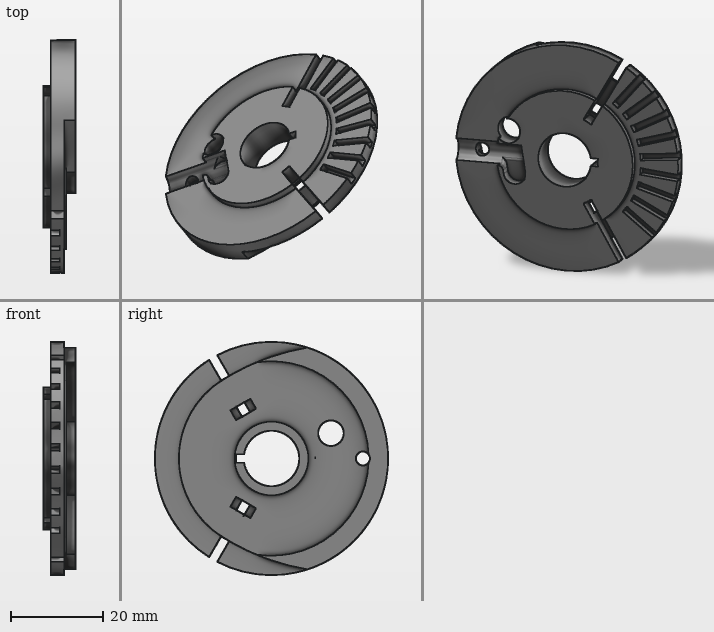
import cadquery as cq
import math

hub_face_x = 0.0
disc_face_x = 1.6
plate_face_x = 4.5
recess_floor_x = 5.0
back_x = 7.0

disc_radius = 25.325
hub_radius = 15.5
boss_radius = 8.0
bore_radius = 6.0
keyway_width = 1.75
keyway_reach = 7.6

cam_base_radius = 20.1
cam_flank_radius = 50.0
cam_tangent_angle = 122.3
cam_flank_sweep = 40.0
recess_radius = 21.1

rim_slot_pitch = 360.0 / 33
rim_slot_positions = [-3.5, -2.5, -1.5, -0.5, 0.5, 1.5, 2.5, 3.5, 4.5]
rim_slot_width = 1.5
rim_slot_depth = 2.0
rim_slot_inner_radius = 16.8

long_slot_angle = 60.0
long_slot_width = 2.0
long_slot_inner_radius = 10.35
window_start_radius = 11.05
window_end_radius = 13.5
window_width = 5.0
window_front_x = 3.0

groove_radius = 2.5
groove_axis_x = 1.1
pocket_radius = 2.5
pocket_top = (12.0, 0.0)
pocket_bottom = (11.4, -3.83)
pocket_floor_x = 3.05
pocket_edge_fillet = 1.0
pin_hole_radius = 1.5
pin_hole_y = 19.83
large_hole_radius = 2.75
large_hole_center = (12.9, 5.49)

margin = 1.0
edge_tolerance = 0.15


def polar(radius, angle):
    """(Y, Z) point at an angle measured from +Y towards +Z."""
    angle_rad = math.radians(angle)
    return radius * math.cos(angle_rad), radius * math.sin(angle_rad)


def cylinder(radius, x_start, x_end, center=(0.0, 0.0)):
    """Cylinder along X between two X levels, centred on a (Y, Z) point."""
    base = cq.Vector(x_start, *center)
    return cq.Workplane(obj=cq.Solid.makeCylinder(radius, x_end - x_start, base, cq.Vector(1, 0, 0)))


def radial_bar(inner_radius, outer_radius, width, x_start, x_end, angle):
    """Straight bar pointing along -Y, turned about the X axis by the given angle."""
    bar = cq.Workplane("XY").box(
        x_end - x_start, outer_radius - inner_radius, width, centered=(False, False, True)
    )
    bar = bar.translate((x_start, -outer_radius, 0))
    return bar.rotate((0, 0, 0), (1, 0, 0), angle)


def make_cam_relief():
    """Material outside the cam outline, removed behind the disc."""
    center_y, center_z = polar(cam_flank_radius - cam_base_radius, cam_tangent_angle - 180)

    def flank_point(angle):
        dy, dz = polar(cam_flank_radius, angle)
        return center_y + dy, center_z + dz

    tangent_y, tangent_z = flank_point(cam_tangent_angle)
    end_y, end_z = flank_point(cam_tangent_angle - cam_flank_sweep)
    mid_y, mid_z = flank_point(cam_tangent_angle - cam_flank_sweep / 2)
    outer_y = -disc_radius - margin
    outer_z = disc_radius + margin
    return (
        cq.Workplane("YZ", origin=(plate_face_x, 0, 0))
        .moveTo(outer_y, outer_z)
        .lineTo(end_y, outer_z)
        .lineTo(end_y, end_z)
        .threePointArc((mid_y, mid_z), (tangent_y, tangent_z))
        .threePointArc((-cam_base_radius, 0), (tangent_y, -tangent_z))
        .threePointArc((mid_y, -mid_z), (end_y, -end_z))
        .lineTo(end_y, -outer_z)
        .lineTo(outer_y, -outer_z)
        .close()
        .extrude(back_x - plate_face_x + margin)
    )


def make_body():
    """Disc with hub; its back is cut to the cam outline and recessed around the boss."""
    hub = cylinder(hub_radius, hub_face_x, plate_face_x)
    disc = cylinder(disc_radius, disc_face_x, back_x)
    recess = cylinder(recess_radius, recess_floor_x, back_x + margin)
    boss = cylinder(boss_radius, recess_floor_x, back_x + margin)
    return hub.union(disc).cut(make_cam_relief()).cut(recess.cut(boss))


def make_bore():
    """Through bore with a keyway towards -Y."""
    bore = cylinder(bore_radius, hub_face_x - margin, back_x + margin)
    keyway = radial_bar(0, keyway_reach, keyway_width, hub_face_x - margin, back_x + margin, 0)
    return bore.union(keyway)


def cut_rim_slots(body):
    """Shallow timing slots open to the rim and to the disc face."""
    for position in rim_slot_positions:
        slot = radial_bar(
            rim_slot_inner_radius,
            disc_radius + margin,
            rim_slot_width,
            disc_face_x,
            disc_face_x + rim_slot_depth,
            -position * rim_slot_pitch,
        )
        body = body.cut(slot)
    return body


def cut_long_slots(body):
    """Slots through hub and disc, each opening into a wider window that breaks out at the back."""
    front_x = hub_face_x - margin
    outer_radius = disc_radius + margin
    for angle in (-long_slot_angle, long_slot_angle):
        slot = radial_bar(
            long_slot_inner_radius, outer_radius, long_slot_width, front_x, plate_face_x, angle
        )
        window = radial_bar(
            window_start_radius, window_end_radius, window_width, window_front_x, back_x, angle
        )
        body = body.cut(slot).cut(window)
    return body


def make_channel(start_y):
    """Radial U groove from a given Y out past the rim."""
    front_x = hub_face_x - margin
    return (
        cq.Workplane("XZ", origin=(0, start_y, 0))
        .moveTo(front_x, -groove_radius)
        .lineTo(groove_axis_x, -groove_radius)
        .threePointArc((groove_axis_x + groove_radius, 0), (groove_axis_x, groove_radius))
        .lineTo(front_x, groove_radius)
        .close()
        .extrude(start_y - disc_radius - margin)
    )


def make_groove_and_pocket():
    """Radial groove running into a tilted round-ended pocket, with rolled edges between them."""
    run_y = pocket_top[0] - pocket_bottom[0]
    run_z = pocket_top[1] - pocket_bottom[1]
    run = math.hypot(run_y, run_z)
    front_x = hub_face_x - margin
    pocket = (
        cq.Workplane("YZ", origin=(front_x, 0, 0))
        .center((pocket_top[0] + pocket_bottom[0]) / 2, (pocket_top[1] + pocket_bottom[1]) / 2)
        .slot2D(run + 2 * pocket_radius, 2 * pocket_radius, math.degrees(math.atan2(run_z, run_y)))
        .extrude(pocket_floor_x - front_x)
    )

    wall_y = pocket_top[0] - pocket_radius * run_z / run
    wall_z = pocket_top[1] + pocket_radius * run_y / run
    slope = run_y / run_z
    outer_y = disc_radius + margin
    footprint = (
        cq.Workplane("YZ", origin=(front_x, 0, 0))
        .moveTo(wall_y + (groove_radius - wall_z) * slope, groove_radius)
        .lineTo(outer_y, groove_radius)
        .lineTo(outer_y, -groove_radius)
        .lineTo(wall_y - (groove_radius + wall_z) * slope, -groove_radius)
        .close()
        .extrude(back_x)
    )
    cutter = make_channel(0).intersect(footprint).union(pocket)

    rim_wall_y = wall_y + 2 * pocket_radius * run / run_z - (groove_radius + wall_z) * slope
    floor_zone = cq.selectors.BoxSelector(
        (pocket_floor_x - edge_tolerance, 0, -groove_radius),
        (pocket_floor_x + edge_tolerance, outer_y, groove_radius),
    )
    corner_zone = cq.selectors.BoxSelector(
        (front_x, rim_wall_y - edge_tolerance, -groove_radius - edge_tolerance),
        (pocket_floor_x, rim_wall_y + edge_tolerance, 0),
    )
    parallel_to_groove = cq.selectors.ParallelDirSelector(cq.Vector(0, 1, 0))
    edges = cutter.edges((floor_zone & parallel_to_groove) + corner_zone)
    return edges.fillet(pocket_edge_fillet)


def make_holes():
    """Through holes: a pin hole in the groove and a large hole beside it."""
    pin_hole = cylinder(pin_hole_radius, hub_face_x - margin, back_x + margin, (pin_hole_y, 0))
    large_hole = cylinder(large_hole_radius, hub_face_x - margin, back_x + margin, large_hole_center)
    return pin_hole.union(large_hole)


body = make_body().cut(make_bore())
body = cut_rim_slots(body)
body = cut_long_slots(body)
body = body.cut(make_groove_and_pocket()).cut(make_holes())

result = body